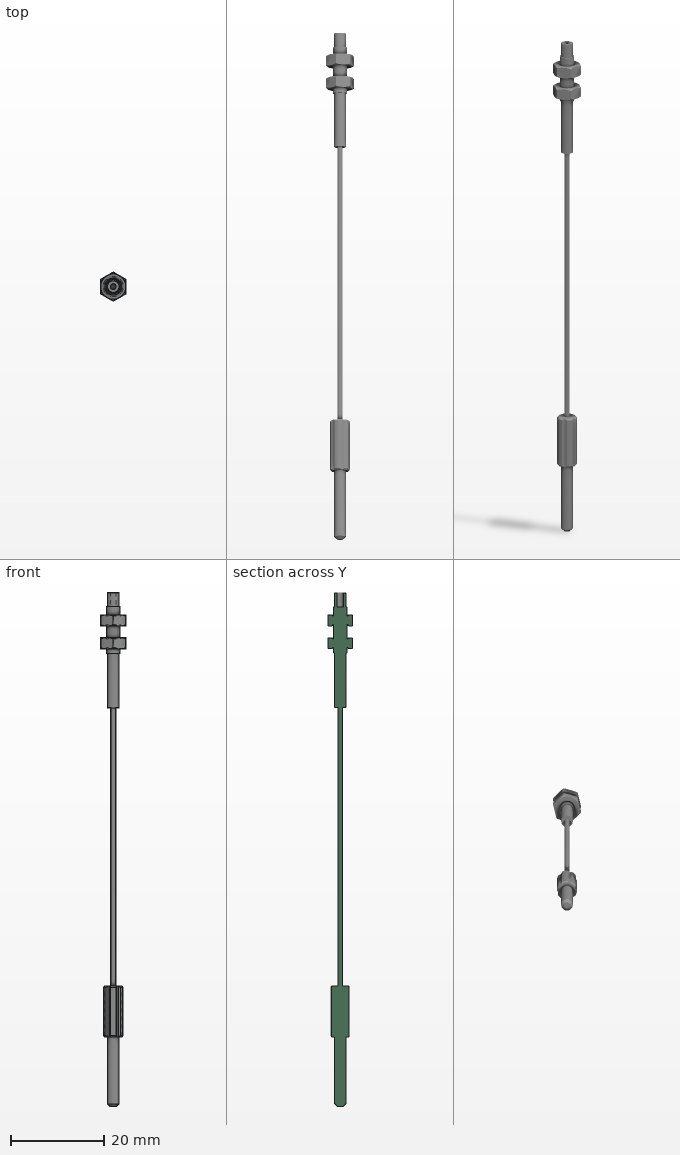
import cadquery as cq
import math

TOTAL_LENGTH = 110.3
THREAD_START = 3.0
THREAD_LENGTH = 10.0
SLEEVE_END = 24.7
GRIP_START = 84.4
GRIP_LENGTH = 11.0
FERRULE_CHAMFER = 0.6

NOSE_DIAMETER = 2.5
THREAD_DIAMETER = 3.0
SLEEVE_DIAMETER = 2.5
CABLE_DIAMETER = 1.1
FERRULE_DIAMETER = 2.5

NUT_SIDES = 6
NUT_ACROSS_FLATS = 5.4
NUT_HEIGHT = 2.4
NUT_STARTS = (4.75, 9.65)
NUT_FACE_DIAMETER = NUT_ACROSS_FLATS
NUT_CHAMFER_ANGLE = 30
NUT_SINK_DIAMETER = 3.6

GRIP_DIAMETER = 4.3
GRIP_CHAMFER = 0.3
GROOVE_COUNT = 6
GROOVE_MOUTH_WIDTH = 1.1
GROOVE_FLOOR_WIDTH = 0.28
GROOVE_DEPTH = 0.17

BORE_DIAMETER = 1.2
BORE_DEPTH = THREAD_START


def rod(diameter, start, end):
    """Round bar about Z between two distances below the top end."""
    return cq.Workplane("XY").workplane(offset=-end).circle(diameter / 2).extrude(end - start)


def nut(start):
    """Hexagon nut with chamfered corners and a countersunk thread at both faces."""
    across_corners = NUT_ACROSS_FLATS / math.cos(math.pi / NUT_SIDES)
    corner_radius = across_corners / 2
    face_radius = NUT_FACE_DIAMETER / 2
    corner_drop = (corner_radius - face_radius) * math.tan(math.radians(NUT_CHAMFER_ANGLE))
    thread_radius = THREAD_DIAMETER / 2
    sink_radius = NUT_SINK_DIAMETER / 2
    sink_depth = sink_radius - thread_radius

    hexagon = (
        cq.Workplane("XY")
        .polygon(NUT_SIDES, across_corners)
        .extrude(NUT_HEIGHT)
        .rotate((0, 0, 0), (0, 0, 1), 180 / NUT_SIDES)
    )
    turned_ring = (
        cq.Workplane("XZ")
        .moveTo(thread_radius, sink_depth)
        .lineTo(sink_radius, 0)
        .lineTo(face_radius, 0)
        .lineTo(corner_radius, corner_drop)
        .lineTo(corner_radius, NUT_HEIGHT - corner_drop)
        .lineTo(face_radius, NUT_HEIGHT)
        .lineTo(sink_radius, NUT_HEIGHT)
        .lineTo(thread_radius, NUT_HEIGHT - sink_depth)
        .close()
        .revolve(360, (0, 0, 0), (0, 1, 0))
    )
    return hexagon.intersect(turned_ring).translate((0, 0, -start - NUT_HEIGHT))


def grip():
    """Round grip with chamfered ends and lengthwise grooves of trapezoid section."""
    end = GRIP_START + GRIP_LENGTH
    radius = GRIP_DIAMETER / 2
    half_mouth = GROOVE_MOUTH_WIDTH / 2
    half_floor = GROOVE_FLOOR_WIDTH / 2
    mouth_x = math.sqrt(radius**2 - half_mouth**2)
    floor_x = mouth_x - GROOVE_DEPTH

    body = rod(GRIP_DIAMETER, GRIP_START, end).edges("%CIRCLE").chamfer(GRIP_CHAMFER)
    groove = (
        cq.Workplane("XY")
        .workplane(offset=-end)
        .moveTo(floor_x, -half_floor)
        .lineTo(mouth_x, -half_mouth)
        .lineTo(radius, -half_mouth)
        .lineTo(radius, half_mouth)
        .lineTo(mouth_x, half_mouth)
        .lineTo(floor_x, half_floor)
        .close()
        .extrude(GRIP_LENGTH)
    )
    for index in range(GROOVE_COUNT):
        body = body.cut(groove.rotate((0, 0, 0), (0, 0, 1), index * 360 / GROOVE_COUNT))
    return body


def ferrule():
    """Lower rod with a chamfered end."""
    body = rod(FERRULE_DIAMETER, GRIP_START + GRIP_LENGTH, TOTAL_LENGTH)
    return body.faces("<Z").chamfer(FERRULE_CHAMFER)


thread_end = THREAD_START + THREAD_LENGTH
result = (
    rod(NOSE_DIAMETER, 0, THREAD_START)
    .union(rod(THREAD_DIAMETER, THREAD_START, thread_end))
    .union(rod(SLEEVE_DIAMETER, thread_end, SLEEVE_END))
    .union(rod(CABLE_DIAMETER, SLEEVE_END, TOTAL_LENGTH))
    .union(grip())
    .union(ferrule())
)
for nut_start in NUT_STARTS:
    result = result.union(nut(nut_start))
result = result.cut(rod(BORE_DIAMETER, 0, BORE_DEPTH))